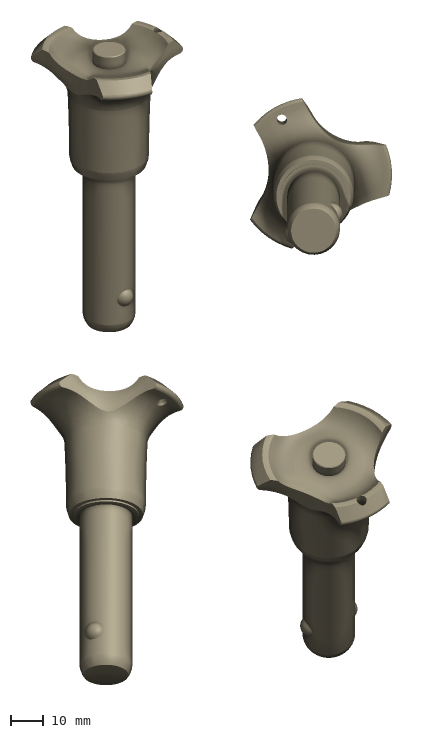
import cadquery as cq
import math


pin_radius = 8.0
pin_length = 54.0
tip_height = 3.1
tip_radius = 6.8
tip_bulge = 0.25

ball_radius = 3.2
ball_reach = 9.55
ball_height = 11.45

handle_height = 39.7
collar_radius = 10.0
collar_height = 0.5
foot_radius = 11.3
foot_height = 3.6
foot_bulge = 0.15
waist_radius = 12.1
neck_radius = 12.6
neck_drop = 14.5
body_sag = 0.1

flare_radius = 10.2
rim_radius = 23.8
rim_mid_drop = 4.2
rim_lower_drop = 5.3
rim_lower_radius = 22.9
rim_upper_drop = 3.2
rim_upper_radius = 23.4
lip_outer_radius = 20.2
lip_inner_radius = 18.3
lip_inner_drop = 0.3
dish_floor_radius = 11.4
dish_depth = 4.3

rear_half_width = 8.4
side_corner = (23.635, -2.8)
side_tilt = math.radians(33.5)
front_corner = (16.95, -16.7)
front_tilt = math.radians(14)
side_scallop_radius = 20.0
front_scallop_radius = 50.0
overrun = 6.0

button_radius = 5.0
button_chamfer = 0.25
lanyard_hole_diameter = 3.1
lanyard_hole_offset = 19.7


def arc_middle(start, end, bulge):
    """Middle point of an arc that bows by bulge to the right of the way from start to end."""
    run = end[0] - start[0]
    rise = end[1] - start[1]
    length = math.hypot(run, rise)
    middle_x = (start[0] + end[0]) / 2 + bulge * rise / length
    middle_y = (start[1] + end[1]) / 2 - bulge * run / length
    return (middle_x, middle_y)


def level_arc_radius(run, drop):
    """Radius of an arc that is level at one end and shifts by drop over a horizontal run."""
    return (run**2 + drop**2) / (2 * drop)


def make_pin():
    tip = (tip_radius, -pin_length)
    shoulder = (pin_radius, -pin_length + tip_height)
    profile = (
        cq.Workplane("XZ")
        .moveTo(0, -pin_length)
        .lineTo(*tip)
        .threePointArc(arc_middle(tip, shoulder, tip_bulge), shoulder)
        .lineTo(pin_radius, collar_height)
        .lineTo(0, collar_height)
        .close()
    )
    pin = profile.revolve(360, (0, 0, 0), (0, 1, 0))
    for side in (-1, 1):
        ball_x = side * (ball_reach - ball_radius)
        ball = cq.Workplane("XY").sphere(ball_radius)
        pin = pin.union(ball.translate((ball_x, 0, ball_height - pin_length)))
    return pin


def make_handle_blank():
    """Round handle with a flared rim and a dished top, before the lobes are cut."""
    foot = (foot_radius, collar_height)
    waist = (waist_radius, foot_height)
    neck = (neck_radius, handle_height - neck_drop)
    rim_lower = (rim_lower_radius, handle_height - rim_lower_drop)
    rim_middle = (rim_radius, handle_height - rim_mid_drop)
    rim_upper = (rim_upper_radius, handle_height - rim_upper_drop)
    lip_inner = (lip_inner_radius, handle_height - lip_inner_drop)
    lip_round = level_arc_radius(lip_outer_radius - lip_inner_radius, lip_inner_drop)
    dish_floor = (dish_floor_radius, handle_height - dish_depth)
    dish_wall_radius = level_arc_radius(lip_inner_radius - dish_floor_radius, dish_depth - lip_inner_drop)
    profile = (
        cq.Workplane("XZ")
        .lineTo(collar_radius, 0)
        .lineTo(collar_radius, collar_height)
        .lineTo(*foot)
        .threePointArc(arc_middle(foot, waist, foot_bulge), waist)
        .threePointArc(arc_middle(waist, neck, -body_sag), neck)
        .radiusArc(rim_lower, flare_radius)
        .threePointArc(rim_middle, rim_upper)
        .lineTo(lip_outer_radius, handle_height)
        .radiusArc(lip_inner, -lip_round)
        .radiusArc(dish_floor, dish_wall_radius)
        .lineTo(0, handle_height - dish_depth)
        .close()
    )
    return profile.revolve(360, (0, 0, 0), (0, 1, 0))


def make_lobe_prism():
    """Upright prism whose three inner corners are rounded into the scallops between the lobes."""
    reach_y = rim_radius + overrun
    side_slope = math.tan(side_tilt)
    front_slope = math.tan(front_tilt)
    side_valley = (rear_half_width, side_corner[1] + side_slope * (side_corner[0] - rear_half_width))
    front_valley = (0, front_corner[1] + front_slope * front_corner[0])
    side_end = (side_corner[0] + overrun, side_corner[1] - overrun * side_slope)
    front_end = (front_corner[0] + overrun, front_corner[1] - overrun * front_slope)
    right_half = [(rear_half_width, reach_y), side_valley, side_end, front_end]
    left_half = [(-x, y) for x, y in reversed(right_half)]
    outline = right_half + [front_valley] + left_half
    prism = cq.Workplane("XY").polyline(outline).close().extrude(handle_height)

    def valley_edge(point):
        return cq.selectors.NearestToPointSelector((point[0], point[1], handle_height / 2))

    for sign in (-1, 1):
        valley = (sign * side_valley[0], side_valley[1])
        prism = prism.edges("|Z").edges(valley_edge(valley)).fillet(side_scallop_radius)
    return prism.edges("|Z").edges(valley_edge(front_valley)).fillet(front_scallop_radius)


def make_button():
    button = cq.Workplane("XY").circle(button_radius).extrude(handle_height)
    return button.faces(">Z").chamfer(button_chamfer)


def make_lanyard_hole():
    hole = cq.Workplane("XY").center(0, lanyard_hole_offset)
    return hole.circle(lanyard_hole_diameter / 2).extrude(handle_height)


handle = make_handle_blank().intersect(make_lobe_prism())
handle = handle.union(make_button()).cut(make_lanyard_hole())
result = handle.union(make_pin())